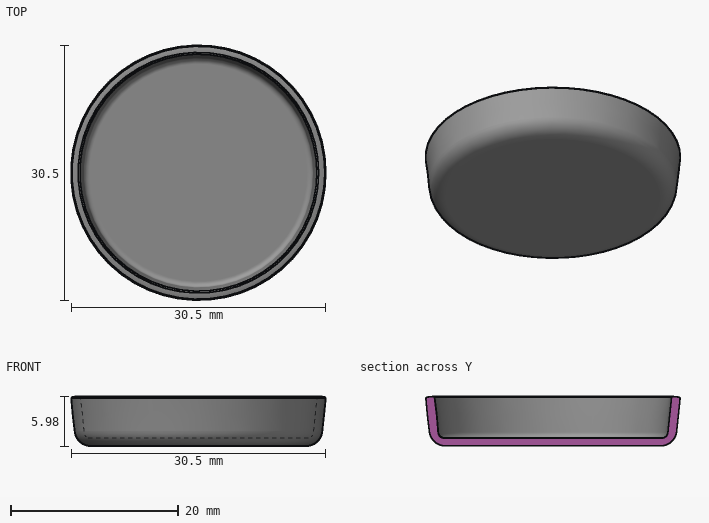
import cadquery as cq
import math

rim_diameter = 30.51
height = 5.98
wall_draft = 6.0
wall_thickness = 1.08
floor_thickness = 1.0
base_radius = 2.0
floor_radius = 0.7

crown_drop = 0.1
outer_bevel_width = 0.13
outer_bevel_height = 0.16
inner_bevel_width = 0.22
inner_bevel_height = 0.1

outer_rim_radius = rim_diameter / 2
outer_wall_top_z = height - crown_drop - outer_bevel_height
crown_outer_radius = outer_rim_radius - outer_bevel_width

inner_rim_radius = outer_rim_radius - wall_thickness
inner_wall_top_z = height - inner_bevel_height
crown_inner_radius = inner_rim_radius + inner_bevel_width


def revolve_about_z(profile):
    return profile.close().revolve(360, (0, 0, 0), (0, 1, 0))


def draft_inset(wall_height):
    """How far a drafted wall moves inwards from its top to its foot."""
    return wall_height * math.tan(math.radians(wall_draft))


def outer_body():
    foot_radius = outer_rim_radius - draft_inset(outer_wall_top_z)
    profile = (
        cq.Workplane("XZ")
        .moveTo(0, height)
        .lineTo(crown_inner_radius, height)
        .tangentArcPoint((crown_outer_radius, height - crown_drop), relative=False)
        .lineTo(outer_rim_radius, outer_wall_top_z)
        .lineTo(foot_radius, 0)
        .lineTo(0, 0)
    )
    return revolve_about_z(profile).faces("<Z").edges().fillet(base_radius)


def cavity():
    foot_radius = inner_rim_radius - draft_inset(inner_wall_top_z - floor_thickness)
    profile = (
        cq.Workplane("XZ")
        .moveTo(0, height)
        .lineTo(crown_inner_radius, height)
        .lineTo(inner_rim_radius, inner_wall_top_z)
        .lineTo(foot_radius, floor_thickness)
        .lineTo(0, floor_thickness)
    )
    return revolve_about_z(profile).faces("<Z").edges().fillet(floor_radius)


result = outer_body().cut(cavity())